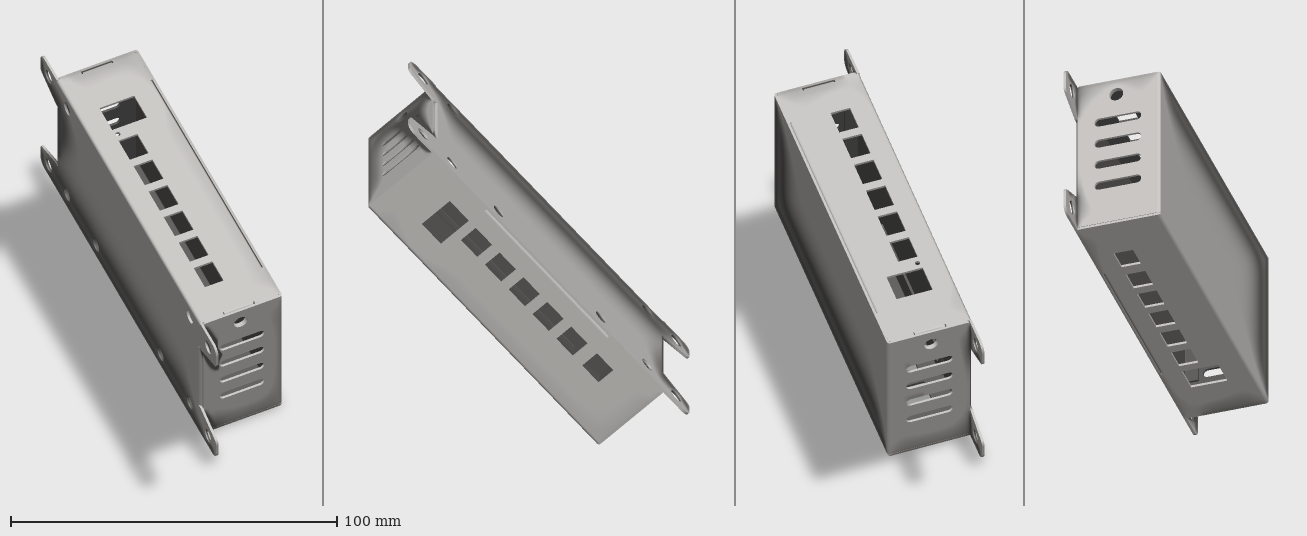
import cadquery as cq


LENGTH_OVER_EARS = 128.8
DEPTH = 27.5
HEIGHT = 53.5
BOX_LENGTH = 106.5
SHEET = 0.8
INNER_BEND = 0.19
OUTER_BEND = INNER_BEND + SHEET
TOP_CORNER_RADIUS = 0.6

TOP = HEIGHT / 2
BOTTOM = -HEIGHT / 2
OUTER_X = BOX_LENGTH / 2
INNER_X = OUTER_X - SHEET
INNER_BACK = DEPTH - SHEET
INNER_FLOOR = BOTTOM + SHEET

EAR_ROOT_Z = 14.5
EAR_TIP_Z = 18.5
EAR_OUTER_RADIUS = 3.0
EAR_INNER_RADIUS = 1.9
EAR_HOLE_X = 58.3
EAR_HOLE_Z = 21.8

SCREW_HOLE = 4.5
CORNER_HOLE_X = 45.0
UPPER_HOLE_Z = 21.4
LOWER_HOLE_Z = -20.7
FLANGE_HOLE_X = 23.6
FLANGE_HOLE_Z = -21.3
SIDE_HOLE_Y = 13.4
SIDE_HOLE_Z = 21.3

PLATE_CUT = 4 * SHEET

RELIEF = 0.4
FRONT_TAB_WIDTH = 2 * (EAR_ROOT_Z - RELIEF)
FRONT_TAB_REACH = 5.0
TOP_TAB_WIDTH = 9.8
TOP_TAB_REACH = 9.0
BACK_TAB_WIDTH = 81.0
BACK_TAB_REACH = 5.0
FLOOR_FLANGE_WIDTH = 56.7
FLOOR_FLANGE_REACH = 9.0

WINDOW_FRONT_Y = 7.3
WINDOW_DEPTH = 6.3
LARGE_WINDOW_DEPTH = 11.7
WINDOW_PITCH = 11.0
TOP_WINDOW_COUNT = 6
TOP_WINDOW_LEFT = -23.0
TOP_WINDOW_WIDTH = 8.2
TOP_LARGE_LEFT = -37.1
TOP_LARGE_WIDTH = 9.4
LIGHT_HOLE = 1.5
LIGHT_HOLE_X = -25.5
LIGHT_HOLE_Y = 8.2
FLOOR_WINDOW_COUNT = 5
FLOOR_WINDOW_LEFT = -25.9
FLOOR_WINDOW_WIDTH = 7.7
FLOOR_END_WINDOW_LEFT = 30.0
FLOOR_LARGE_LEFT = -37.9
FLOOR_LARGE_WIDTH = 9.0

SLOT_COUNT = 4
SLOT_LENGTH = 15.1
SLOT_WIDTH = 3.0
SLOT_PITCH = 7.9
SLOT_Y = 13.9
TOP_SLOT_Z = 11.8

SEAM = 0.1


def block(x0, x1, y0, y1, z0, z1):
    """Box between two opposite corners."""
    return cq.Workplane("XY").box(x1 - x0, y1 - y0, z1 - z0, centered=False).translate((x0, y0, z0))


def round_hole(direction, centre, diameter, depth):
    """Cutter for a round hole, centred on a point and running along a direction."""
    return cq.Workplane(cq.Plane(centre, normal=direction)).circle(diameter / 2).extrude(depth / 2, both=True)


def side_hole():
    """Cutter for the screw hole through both side walls and the tabs behind them."""
    return round_hole((1, 0, 0), (0, SIDE_HOLE_Y, SIDE_HOLE_Z), SCREW_HOLE, 2 * BOX_LENGTH)


def bent_tab(plate_length, reach, width):
    """L-shaped strip: a plate along -X ending at x = 0, bent down along -Z, centred on y = 0."""
    return (
        cq.Workplane("XZ")
        .moveTo(-plate_length, 0)
        .lineTo(-OUTER_BEND, 0)
        .radiusArc((0, -OUTER_BEND), OUTER_BEND)
        .lineTo(0, -reach)
        .lineTo(-SHEET, -reach)
        .lineTo(-SHEET, -OUTER_BEND)
        .radiusArc((-OUTER_BEND, -SHEET), -INNER_BEND)
        .lineTo(-plate_length, -SHEET)
        .close()
        .extrude(width / 2, both=True)
    )


def ear_pair():
    """Plate for the upper left and upper right ears, joined across the front plate."""
    tip_x = LENGTH_OVER_EARS / 2
    ears = (
        cq.Workplane("XZ")
        .polyline([
            (-tip_x, TOP), (tip_x, TOP), (tip_x, EAR_TIP_Z), (OUTER_X, EAR_ROOT_Z),
            (-OUTER_X, EAR_ROOT_Z), (-tip_x, EAR_TIP_Z),
        ])
        .close()
        .extrude(-SHEET)
    )
    for side in ("<X", ">X"):
        ears = ears.faces(side).edges(">Z").fillet(EAR_OUTER_RADIUS)
        ears = ears.faces(side).edges("<Z").fillet(EAR_INNER_RADIUS)
    return ears


def window(left, width, depth, z):
    """Cutter for one rectangular window through the horizontal sheet whose underside is at z."""
    return block(left, left + width, WINDOW_FRONT_Y, WINDOW_FRONT_Y + depth, z - SHEET, z + 2 * SHEET)


def small_windows(left, width, count, z):
    """Cutters for a row of small connector windows through a horizontal sheet."""
    cutters = []
    for index in range(count):
        x = left + index * WINDOW_PITCH
        cutters.append(window(x, width, WINDOW_DEPTH, z))
    return cutters


def make_base():
    folded = (
        bent_tab(INNER_BACK, HEIGHT, 2 * INNER_X)
        .rotate((0, 0, 0), (0, 0, 1), -90)
        .translate((0, 0, TOP))
    )
    folded = folded.edges("|Z and >Y").fillet(TOP_CORNER_RADIUS)

    front_room = FRONT_TAB_WIDTH / 2 + RELIEF
    top_room = TOP_TAB_WIDTH / 2 + RELIEF
    half_back_tab = BACK_TAB_WIDTH / 2
    bend_x = INNER_X - OUTER_BEND
    for x0, x1 in ((-INNER_X, -bend_x), (bend_x, INNER_X)):
        folded = folded.cut(block(x0, x1, 0, SHEET, -front_room, front_room))
        folded = folded.cut(
            block(x0, x1, SIDE_HOLE_Y - top_room, SIDE_HOLE_Y + top_room, TOP - SHEET, TOP)
        )
    bend_y = INNER_BACK - OUTER_BEND
    folded = folded.cut(block(-half_back_tab, half_back_tab, bend_y, INNER_BACK, TOP - SHEET, TOP))

    upper_ears = ear_pair()
    base = folded.union(upper_ears.cut(block(-INNER_X, INNER_X, 0, SHEET, 0, TOP)))
    base = base.union(upper_ears.mirror("XY"))
    tab_length = 2 * OUTER_BEND
    front_tab = bent_tab(tab_length, FRONT_TAB_REACH, FRONT_TAB_WIDTH).rotate((0, 0, 0), (1, 0, 0), 90)
    front_tab = front_tab.translate((INNER_X, 0, 0))
    top_tab = bent_tab(tab_length, TOP_TAB_REACH, TOP_TAB_WIDTH).translate((INNER_X, SIDE_HOLE_Y, TOP))
    for tab in (front_tab, top_tab):
        base = base.union(tab).union(tab.mirror("YZ"))
    back_tab = bent_tab(tab_length, BACK_TAB_REACH, BACK_TAB_WIDTH).rotate((0, 0, 0), (0, 0, 1), 90)
    base = base.union(back_tab.translate((0, INNER_BACK, TOP)))

    hole_places = [
        (EAR_HOLE_X, EAR_HOLE_Z), (EAR_HOLE_X, -EAR_HOLE_Z), (CORNER_HOLE_X, UPPER_HOLE_Z),
        (CORNER_HOLE_X, LOWER_HOLE_Z), (FLANGE_HOLE_X, FLANGE_HOLE_Z),
    ]
    for x, z in hole_places:
        for side in (-1, 1):
            base = base.cut(round_hole((0, 1, 0), (side * x, 0, z), SCREW_HOLE, PLATE_CUT))
    base = base.cut(side_hole())

    underside = TOP - SHEET
    for cutter in small_windows(TOP_WINDOW_LEFT, TOP_WINDOW_WIDTH, TOP_WINDOW_COUNT, underside):
        base = base.cut(cutter)
    base = base.cut(window(TOP_LARGE_LEFT, TOP_LARGE_WIDTH, LARGE_WINDOW_DEPTH, underside))
    return base.cut(round_hole((0, 0, 1), (LIGHT_HOLE_X, LIGHT_HOLE_Y, TOP), LIGHT_HOLE, PLATE_CUT))


def make_cover():
    outer = block(-OUTER_X, OUTER_X, SHEET, DEPTH, BOTTOM, TOP)
    outer = outer.edges(">Y and (not >Z)").fillet(OUTER_BEND)
    cavity = block(-INNER_X, INNER_X, SHEET, INNER_BACK, INNER_FLOOR, TOP)
    cavity = cavity.edges(">Y and (not >Z)").fillet(INNER_BEND)
    cover = outer.cut(cavity)

    cover = cover.edges("|X and <Y and >Z").fillet(OUTER_BEND)
    for x0, x1 in ((-OUTER_X, -INNER_X), (INNER_X, OUTER_X)):
        cover = cover.cut(block(x0, x1, SHEET, DEPTH, INNER_FLOOR, INNER_FLOOR + SEAM))

    half_flange = FLOOR_FLANGE_WIDTH / 2
    flange_bend = SHEET + OUTER_BEND
    cover = cover.cut(block(-half_flange, half_flange, SHEET, flange_bend, BOTTOM, INNER_FLOOR))
    flange = (
        bent_tab(2 * OUTER_BEND, FLOOR_FLANGE_REACH, FLOOR_FLANGE_WIDTH)
        .mirror("XY")
        .rotate((0, 0, 0), (0, 0, 1), -90)
        .translate((0, SHEET, BOTTOM))
    )
    cover = cover.union(flange)
    for x in (-FLANGE_HOLE_X, FLANGE_HOLE_X):
        cover = cover.cut(round_hole((0, 1, 0), (x, SHEET, FLANGE_HOLE_Z), SCREW_HOLE, PLATE_CUT))

    cover = cover.cut(side_hole())
    slot_places = [(SLOT_Y, TOP_SLOT_Z - index * SLOT_PITCH) for index in range(SLOT_COUNT)]
    slots = cq.Workplane("YZ").pushPoints(slot_places).slot2D(SLOT_LENGTH, SLOT_WIDTH)
    cover = cover.cut(slots.extrude(BOX_LENGTH, both=True))

    for cutter in small_windows(FLOOR_WINDOW_LEFT, FLOOR_WINDOW_WIDTH, FLOOR_WINDOW_COUNT, BOTTOM):
        cover = cover.cut(cutter)
    cover = cover.cut(window(FLOOR_END_WINDOW_LEFT, FLOOR_WINDOW_WIDTH, WINDOW_DEPTH, BOTTOM))
    return cover.cut(window(FLOOR_LARGE_LEFT, FLOOR_LARGE_WIDTH, LARGE_WINDOW_DEPTH, BOTTOM))


base = make_base()
cover = make_cover()
result = cq.Compound.makeCompound([base.val(), cover.val()])